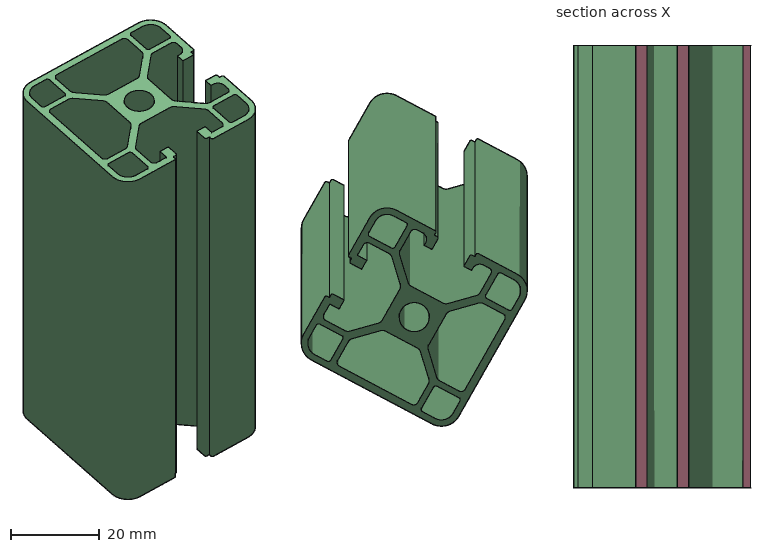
import cadquery as cq

LENGTH = 100.0
SIDE = 40.0
HALF = SIDE / 2
CORNER_RADIUS = 4.5

WALL = 1.8
CORNER_WALL = 1.5
RIB_INNER = 10.3
RIB_OUTER = 11.7
CORE_HALF = 6.0
CORE_BORE = 6.8
STRUT_OFFSET = 1.3
CHAMBER_RADIUS = 1.0
STRUT_RADIUS = 1.5

POCKET_RADIUS = 0.6
POCKET_OUTER_RADIUS = CORNER_RADIUS - CORNER_WALL

SLOT_HALF = 4.1
LIP_DEPTH = 4.2
STEP_WIDTH = 1.1
STEP_HALF = SLOT_HALF + STEP_WIDTH
STEP_DEPTH = 1.0
MOUTH_RADIUS = 0.4
TOP_LIP_WIDTH = 2.0
TOP_LIP_RADIUS = 1.8
SIDE_LIP_WIDTH = 2.4

TOP_TURN = 0
LEFT_TURN = 90
BOTTOM_TURN = 180
RIGHT_TURN = 270
ALL_TURNS = (TOP_TURN, LEFT_TURN, BOTTOM_TURN, RIGHT_TURN)


def block(x_min, x_max, y_min, y_max):
    """Full-length rectangular bar between the given limits."""
    return (
        cq.Workplane("XY")
        .rect(x_max - x_min, y_max - y_min)
        .extrude(LENGTH)
        .translate(((x_min + x_max) / 2, (y_min + y_max) / 2, 0))
    )


def turned(body, angle):
    """Body rotated about the profile axis."""
    return body.rotate((0, 0, 0), (0, 0, 1), angle)


def chamber():
    """Six-sided cavity between the core and the +Y wall."""
    wall_y = HALF - WALL
    rib_end_y = RIB_INNER + STRUT_OFFSET
    core_x = CORE_HALF - STRUT_OFFSET
    outline = [
        (-RIB_INNER, wall_y),
        (RIB_INNER, wall_y),
        (RIB_INNER, rib_end_y),
        (core_x, CORE_HALF),
        (-core_x, CORE_HALF),
        (-RIB_INNER, rib_end_y),
    ]
    body = cq.Workplane("XY").polyline(outline).close().extrude(LENGTH)
    body = body.edges("|Z").edges("not(>Y)").fillet(STRUT_RADIUS)
    return body.faces(">Y").edges("|Z").fillet(CHAMBER_RADIUS)


def corner_pocket():
    """Square cavity in the +X +Y corner, its outer edge concentric with the profile corner."""
    size = HALF - CORNER_WALL - RIB_OUTER
    sketch = cq.Sketch().rect(size, size)
    sketch = sketch.vertices(">X and >Y").fillet(POCKET_OUTER_RADIUS)
    sketch = sketch.reset().vertices("<X or <Y").fillet(POCKET_RADIUS)
    centre = RIB_OUTER + size / 2
    return cq.Workplane("XY").center(centre, centre).placeSketch(sketch).extrude(LENGTH)


def lip(width, root_radius):
    """Lip on the +X side of a +Y slot, with an optional round at its root."""
    back = SLOT_HALF + width
    root_y = HALF - WALL
    body = block(SLOT_HALF, back, HALF - LIP_DEPTH, HALF - STEP_DEPTH)
    if root_radius:
        root_fill = (
            cq.Workplane("XY")
            .moveTo(back, root_y)
            .lineTo(back + root_radius, root_y)
            .radiusArc((back, root_y - root_radius), -root_radius)
            .close()
            .extrude(LENGTH)
        )
        body = body.union(root_fill)
    return body


def open_slot(body, turn, lip_width, root_radius=0):
    """Body with a stepped, lipped slot cut through one wall."""
    body = turned(body, -turn)
    body = body.cut(block(-STEP_HALF, STEP_HALF, HALF - WALL, HALF))
    right_lip = lip(lip_width, root_radius)
    body = body.union(right_lip).union(right_lip.mirror("YZ"))

    mouth_corners = (
        (-STEP_HALF, HALF),
        (STEP_HALF, HALF),
        (-SLOT_HALF, HALF - STEP_DEPTH),
        (SLOT_HALF, HALF - STEP_DEPTH),
    )
    for x, y in mouth_corners:
        corner = cq.selectors.NearestToPointSelector((x, y, LENGTH / 2))
        body = body.edges("|Z").edges(corner).fillet(MOUTH_RADIUS)
    return turned(body, turn)


profile = cq.Workplane("XY").rect(SIDE, SIDE).extrude(LENGTH).edges("|Z").fillet(CORNER_RADIUS)
profile = profile.cut(cq.Workplane("XY").circle(CORE_BORE / 2).extrude(LENGTH))

for turn in ALL_TURNS:
    profile = profile.cut(turned(chamber(), turn))
    profile = profile.cut(turned(corner_pocket(), turn))

profile = open_slot(profile, TOP_TURN, TOP_LIP_WIDTH, TOP_LIP_RADIUS)
profile = open_slot(profile, RIGHT_TURN, SIDE_LIP_WIDTH)

result = profile